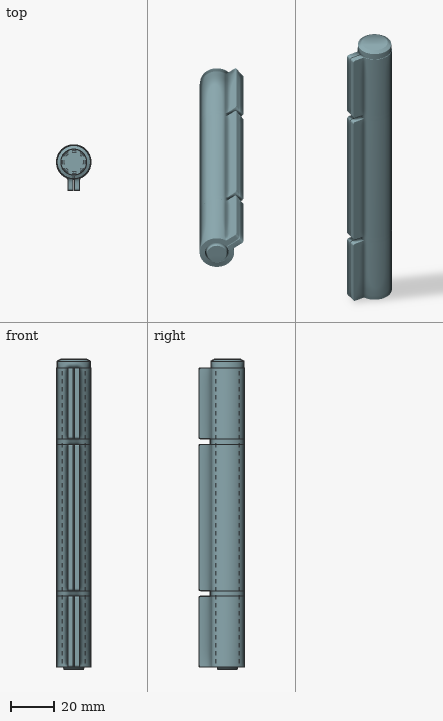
import cadquery as cq
import math

barrel_diameter = 16.0
sheet_thickness = 2.5
seam_width = 0.5
leaf_reach = 13.3
leaf_edge_round = 1.0
root_fillet = 0.7

end_knuckle_length = 33.0
middle_knuckle_length = 68.0
washer_thickness = 2.5

pin_diameter = 10.6
pin_overhang = 1.0
pin_tip_length = 3.0
pin_tip_slope = 15
cap_diameter = 15.5
cap_height = 4.0
cap_bevel_height = 1.0
cap_bevel_slope = 60

barrel_radius = barrel_diameter / 2
bore_radius = barrel_radius - sheet_thickness
leaf_thickness = 2 * sheet_thickness + seam_width
bottom_washer_z = end_knuckle_length
middle_knuckle_z = bottom_washer_z + washer_thickness
top_washer_z = middle_knuckle_z + middle_knuckle_length
top_knuckle_z = top_washer_z + washer_thickness
stack_height = top_knuckle_z + end_knuckle_length


def make_knuckle(length, base_z):
    """Barrel with its leaf toward -Y, bored for the pin and split along the seam."""
    barrel = cq.Workplane("XY").circle(barrel_radius).extrude(length)
    leaf = (
        cq.Workplane("XY")
        .box(leaf_thickness, leaf_reach, length, centered=(True, False, False))
        .translate((0, -leaf_reach, 0))
        .faces("<Y")
        .edges("|X")
        .fillet(leaf_edge_round)
    )
    inner_corners = "|Z and (not <Y) and (not >Y)"
    rolled_sheet = barrel.union(leaf).edges(inner_corners).fillet(root_fillet)
    bore = cq.Workplane("XY").circle(bore_radius).extrude(length)
    seam = (
        cq.Workplane("XY")
        .box(seam_width, leaf_reach, length, centered=(True, False, False))
        .translate((0, -leaf_reach, 0))
    )
    knuckle = rolled_sheet.cut(bore).cut(seam)
    return knuckle.translate((0, 0, base_z)).solids()


def make_washer(base_z):
    """Plain ring between two knuckles."""
    return (
        cq.Workplane("XY", origin=(0, 0, base_z))
        .circle(barrel_radius)
        .circle(bore_radius)
        .extrude(washer_thickness)
    )


def make_pin():
    """Shaft with a tapered lower tip and a bevelled cap resting on the top knuckle."""
    cap_top_z = stack_height + cap_height
    shaft_radius = pin_diameter / 2
    tip_radius = shaft_radius - pin_tip_length * math.tan(math.radians(pin_tip_slope))
    cap_radius = cap_diameter / 2
    cap_top_radius = cap_radius - cap_bevel_height * math.tan(math.radians(cap_bevel_slope))
    half_profile = [
        (0, -pin_overhang),
        (tip_radius, -pin_overhang),
        (shaft_radius, pin_tip_length - pin_overhang),
        (shaft_radius, stack_height),
        (cap_radius, stack_height),
        (cap_radius, cap_top_z - cap_bevel_height),
        (cap_top_radius, cap_top_z),
        (0, cap_top_z),
    ]
    return cq.Workplane("XZ").polyline(half_profile).close().revolve(360, (0, 0, 0), (0, 1, 0))


knuckle_places = [
    (end_knuckle_length, 0),
    (middle_knuckle_length, middle_knuckle_z),
    (end_knuckle_length, top_knuckle_z),
]
knuckles = [make_knuckle(length, base_z) for length, base_z in knuckle_places]
washers = [make_washer(base_z) for base_z in (bottom_washer_z, top_washer_z)]
pin = make_pin()

bodies = [pin, *knuckles, *washers]
result = cq.Compound.makeCompound([body.val() for body in bodies])